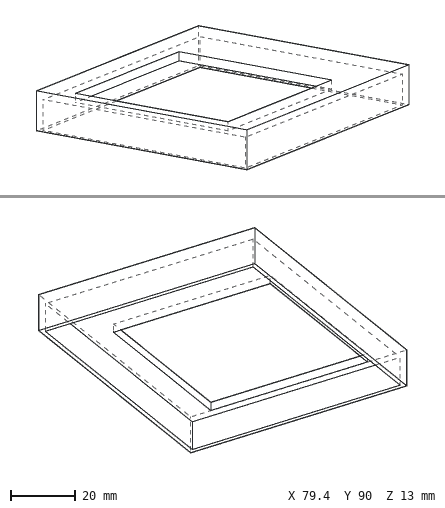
import cadquery as cq

width = 79.4
length = 90.05
height = 13.0

top_thickness = 3.0
rim_thickness = 1.5
hollow_height = height - top_thickness

window_size = 57.5
window_left = 11.7
window_front = 4.5


def box_at(x, y, size_x, size_y, size_z):
    """Box standing on the base plane with its lowest corner at (x, y)."""
    return cq.Workplane("XY").box(size_x, size_y, size_z, centered=False).translate((x, y, 0))


block = box_at(0, 0, width, length, height)
hollow = box_at(
    rim_thickness,
    rim_thickness,
    width - 2 * rim_thickness,
    length - 2 * rim_thickness,
    hollow_height,
)
window = box_at(window_left, window_front, window_size, window_size, height)

result = block.cut(hollow).cut(window)